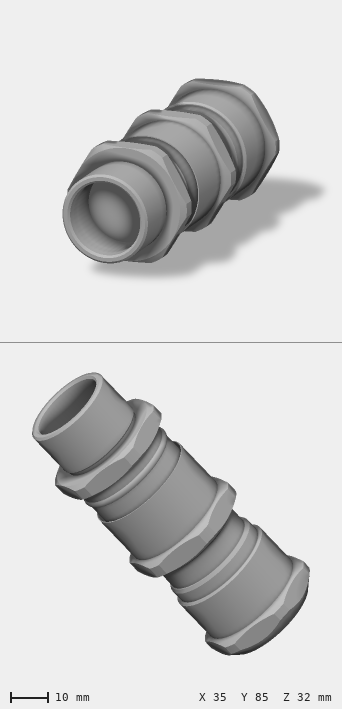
import cadquery as cq
import math

TOTAL_LENGTH = 85.0

HEX_ACROSS_FLATS = 32.0
HEX_CORNER_DIAMETER = 34.98
HEX_SIDES = 6
CHAMFER_SLOPE = math.sqrt(3)

CAP_END_RADIUS = 13.5
CAP_CHAMFER_SLOPE = 1.0
CAP_HEX_END = 8.0
SLEEVE_RADIUS = 15.0
CAP_SLEEVE_END = 21.5
SLEEVE_CHAMFER = 0.5

COLLAR_RADIUS = 14.0
COLLAR_END = 25.95
COLLAR_CHAMFER_LENGTH = 1.0
COLLAR_CHAMFER_DEPTH = COLLAR_CHAMFER_LENGTH / math.sqrt(3)
NECK_RADIUS = 13.0

MIDDLE_HEX_START = 32.0
MIDDLE_HEX_LENGTH = 7.45
MIDDLE_HEX_END = MIDDLE_HEX_START + MIDDLE_HEX_LENGTH
MIDDLE_SLEEVE_LENGTH = 14.95
MIDDLE_SLEEVE_END = MIDDLE_HEX_END + MIDDLE_SLEEVE_LENGTH

BARREL_RADIUS = 14.0
RING_POSITION = 60.35
RING_OUTER_RADIUS = 14.5
RING_WIDTH = 2.0
RING_DEPTH = 2.0

SKIRT_INNER_RADIUS = 14.7
SKIRT_GAP_DEPTH = 5.0

ENTRY_HEX_LENGTH = 5.2
ENTRY_HEX_END = 70.0
ENTRY_HEX_START = ENTRY_HEX_END - ENTRY_HEX_LENGTH
ENTRY_FACE_RADIUS = 15.9

UNDERCUT_RADIUS = 12.0
UNDERCUT_LENGTH = 1.0
THREAD_RADIUS = 12.5
THREAD_CHAMFER = 0.6
BORE_RADIUS = 10.25
BORE_DEPTH = 13.6
BORE_CHAMFER = 0.6

corner_radius = HEX_CORNER_DIAMETER / 2


def revolve_profile(points):
    """Revolve (radius, distance from rear end) points about the Y axis."""
    outline = [(radius, -distance) for radius, distance in points]
    return cq.Workplane("XY").polyline(outline).close().revolve(360, (0, 0, 0), (0, 1, 0))


def hexagon(start, end, start_radius, end_radius, start_slope):
    """Hexagonal collar with conical chamfers ending at the given face radii."""
    circumscribed_diameter = HEX_ACROSS_FLATS / math.cos(math.pi / HEX_SIDES)
    prism = (
        cq.Workplane("XZ", origin=(0, -start, 0))
        .polygon(HEX_SIDES, circumscribed_diameter)
        .extrude(end - start)
    )
    start_chamfer = (corner_radius - start_radius) / start_slope
    end_chamfer = (corner_radius - end_radius) / CHAMFER_SLOPE
    envelope = revolve_profile([
        (0, start),
        (start_radius, start),
        (corner_radius, start + start_chamfer),
        (corner_radius, end - end_chamfer),
        (end_radius, end),
        (0, end),
    ])
    return prism.intersect(envelope)


def turned_body():
    """All round sections between and beyond the hexagons."""
    undercut_end = ENTRY_HEX_END + UNDERCUT_LENGTH
    return revolve_profile([
        (0, 0),
        (CAP_END_RADIUS, 0),
        (CAP_END_RADIUS, CAP_HEX_END / 2),
        (SLEEVE_RADIUS, CAP_HEX_END / 2),
        (SLEEVE_RADIUS, CAP_SLEEVE_END - SLEEVE_CHAMFER),
        (SLEEVE_RADIUS - SLEEVE_CHAMFER, CAP_SLEEVE_END),
        (COLLAR_RADIUS, CAP_SLEEVE_END),
        (COLLAR_RADIUS, COLLAR_END - COLLAR_CHAMFER_LENGTH),
        (COLLAR_RADIUS - COLLAR_CHAMFER_DEPTH, COLLAR_END),
        (NECK_RADIUS, COLLAR_END),
        (NECK_RADIUS, MIDDLE_HEX_END),
        (SLEEVE_RADIUS, MIDDLE_HEX_END),
        (SLEEVE_RADIUS, MIDDLE_SLEEVE_END),
        (SKIRT_INNER_RADIUS, MIDDLE_SLEEVE_END),
        (SKIRT_INNER_RADIUS, MIDDLE_SLEEVE_END - SKIRT_GAP_DEPTH),
        (BARREL_RADIUS, MIDDLE_SLEEVE_END - SKIRT_GAP_DEPTH),
        (BARREL_RADIUS, ENTRY_HEX_START),
        (UNDERCUT_RADIUS, ENTRY_HEX_START),
        (UNDERCUT_RADIUS, undercut_end),
        (THREAD_RADIUS, undercut_end + THREAD_RADIUS - UNDERCUT_RADIUS),
        (THREAD_RADIUS, TOTAL_LENGTH - THREAD_CHAMFER),
        (THREAD_RADIUS - THREAD_CHAMFER, TOTAL_LENGTH),
        (0, TOTAL_LENGTH),
    ])


def o_ring():
    """Rounded bead standing proud of the barrel, with its root closed inside the barrel."""
    root_radius = RING_OUTER_RADIUS - RING_DEPTH
    ring_start = -RING_POSITION + RING_WIDTH / 2
    ring_end = -RING_POSITION - RING_WIDTH / 2
    return (
        cq.Workplane("XY")
        .moveTo(root_radius, ring_start)
        .lineTo(BARREL_RADIUS, ring_start)
        .threePointArc((RING_OUTER_RADIUS, -RING_POSITION), (BARREL_RADIUS, ring_end))
        .lineTo(root_radius, ring_end)
        .close()
        .revolve(360, (0, 0, 0), (0, 1, 0))
    )


def entry_bore():
    """Blind bore with a chamfered mouth, open at the threaded end."""
    return revolve_profile([
        (0, TOTAL_LENGTH - BORE_DEPTH),
        (BORE_RADIUS, TOTAL_LENGTH - BORE_DEPTH),
        (BORE_RADIUS, TOTAL_LENGTH - BORE_CHAMFER),
        (BORE_RADIUS + BORE_CHAMFER, TOTAL_LENGTH),
        (0, TOTAL_LENGTH),
    ])


cap_hex = hexagon(0, CAP_HEX_END, CAP_END_RADIUS, SLEEVE_RADIUS, CAP_CHAMFER_SLOPE)
middle_hex = hexagon(MIDDLE_HEX_START, MIDDLE_HEX_END, NECK_RADIUS, SLEEVE_RADIUS, CHAMFER_SLOPE)
entry_hex = hexagon(
    ENTRY_HEX_START, ENTRY_HEX_END, ENTRY_FACE_RADIUS, ENTRY_FACE_RADIUS, CHAMFER_SLOPE
)

result = turned_body().union(cap_hex).union(middle_hex).union(entry_hex).union(o_ring())
result = result.cut(entry_bore())